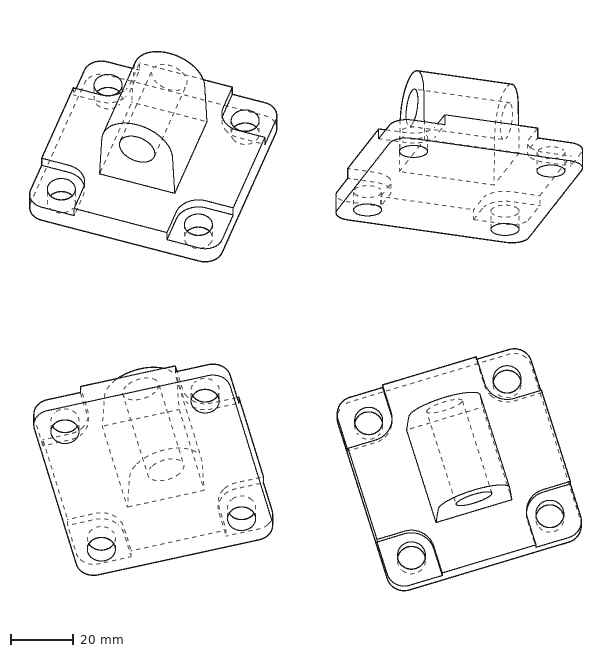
import cadquery as cq
import math

plate_side = 65.0
plate_height = 10.0
plate_corner_radius = 5.75

hole_pitch = 46.5
hole_diameter = 9.0
seat_height = 6.5
seat_radius = 7.5

lug_length = 32.0
lug_radius = 12.0
lug_draft = math.radians(2.5)
pin_diameter = 12.0
pin_height = 27.0


def base_plate():
    plate = cq.Workplane("XY").box(plate_side, plate_side, plate_height, centered=(True, True, False))
    return plate.edges("|Z").fillet(plate_corner_radius)


def corner_seat(x_sign, y_sign):
    """Volume removed above one seat: a square pocket rounded at its inner corner."""
    inner = hole_pitch / 2 - seat_radius
    side = plate_side / 2 - inner
    center = inner + side / 2
    pocket = cq.Workplane("XY").box(side, side, plate_height - seat_height, centered=(True, True, False))
    pocket = pocket.translate((x_sign * center, y_sign * center, seat_height))
    inner_x = "<X" if x_sign > 0 else ">X"
    inner_y = "<Y" if y_sign > 0 else ">Y"
    return pocket.faces(inner_x).edges("|Z").edges(inner_y).fillet(seat_radius)


def lug():
    """Lug whose drafted sides run tangent into the rounded top."""
    tangent_x = lug_radius * math.cos(lug_draft)
    tangent_z = pin_height + lug_radius * math.sin(lug_draft)
    foot_x = tangent_x + (tangent_z - plate_height) * math.tan(lug_draft)
    profile = (
        cq.Workplane("XZ")
        .moveTo(-foot_x, plate_height)
        .lineTo(foot_x, plate_height)
        .lineTo(tangent_x, tangent_z)
        .threePointArc((0, pin_height + lug_radius), (-tangent_x, tangent_z))
        .close()
    )
    return profile.extrude(lug_length / 2, both=True)


def pin_bore():
    bore = cq.Workplane("XZ").center(0, pin_height).circle(pin_diameter / 2)
    return bore.extrude(lug_length / 2, both=True)


def mounting_holes():
    pattern = cq.Workplane("XY").rect(hole_pitch, hole_pitch, forConstruction=True).vertices()
    return pattern.circle(hole_diameter / 2).extrude(plate_height)


plate = base_plate()
for x_sign in (-1, 1):
    for y_sign in (-1, 1):
        plate = plate.cut(corner_seat(x_sign, y_sign))
plate = plate.cut(mounting_holes())

result = plate.union(lug()).cut(pin_bore())